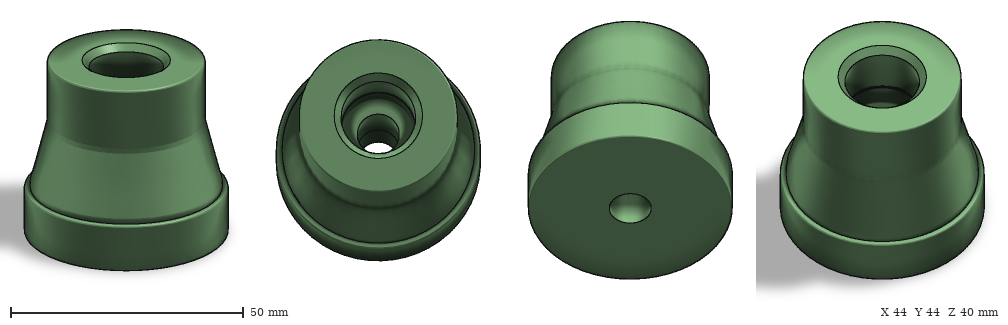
import cadquery as cq

total_height = 40.0
neck_bottom = 25.95
cone_bottom = 11.55
foot_height = 10.55

foot_diameter = 43.95
joint_diameter = 41.4
neck_diameter = 34.0

through_diameter = 9.0
bore_diameter = 16.0
bore_depth = 16.0
groove_diameter = 16.5
groove_depth = 11.0
groove_width = 0.5
countersink = 1.5
bore_floor_fillet = 0.45

edge_fillet = 0.5
neck_blend_radius = 4.4
cone_blend_radius = 1.45


def circles_near(height):
    """Select the edges whose centre lies close to the given height."""
    margin = 0.2
    return cq.selectors.BoxSelector(
        (-foot_diameter, -foot_diameter, height - margin),
        (foot_diameter, foot_diameter, height + margin),
    )


def make_upper_body():
    """Neck and flared cone, with the grooved bore along the axis."""
    joint_radius = joint_diameter / 2
    neck_radius = neck_diameter / 2
    bore_floor = total_height - bore_depth

    body = (
        cq.Workplane("XZ")
        .moveTo(0, foot_height)
        .lineTo(joint_radius, foot_height)
        .lineTo(joint_radius, cone_bottom)
        .lineTo(neck_radius, neck_bottom)
        .lineTo(neck_radius, total_height)
        .lineTo(0, total_height)
        .close()
        .revolve(360, (0, 0), (0, 1))
    )
    body = body.edges(circles_near(neck_bottom)).fillet(neck_blend_radius)
    body = body.edges(circles_near(cone_bottom)).fillet(cone_blend_radius)
    body = body.faces(">Z").edges().fillet(edge_fillet)

    bore = (
        cq.Workplane("XY", origin=(0, 0, bore_floor))
        .circle(bore_diameter / 2)
        .extrude(bore_depth)
        .faces("<Z").edges().fillet(bore_floor_fillet)
    )
    groove = (
        cq.Workplane("XY", origin=(0, 0, total_height - groove_depth - groove_width))
        .circle(groove_diameter / 2)
        .extrude(groove_width)
    )
    body = body.cut(bore).cut(groove)
    bore_mouth = cq.selectors.RadiusNthSelector(0)
    body = body.faces(">Z").edges(bore_mouth).chamfer(countersink)
    return body.cut(make_through_hole())


def make_foot():
    """Wide foot with rounded edges, under the upper body."""
    foot = cq.Workplane("XY").circle(foot_diameter / 2).extrude(foot_height)
    foot = foot.faces("<Z or >Z").edges().fillet(edge_fillet)
    return foot.cut(make_through_hole())


def make_through_hole():
    return cq.Workplane("XY").circle(through_diameter / 2).extrude(total_height)


upper_body = make_upper_body()
foot = make_foot()

result = cq.Compound.makeCompound([upper_body.val(), foot.val()])